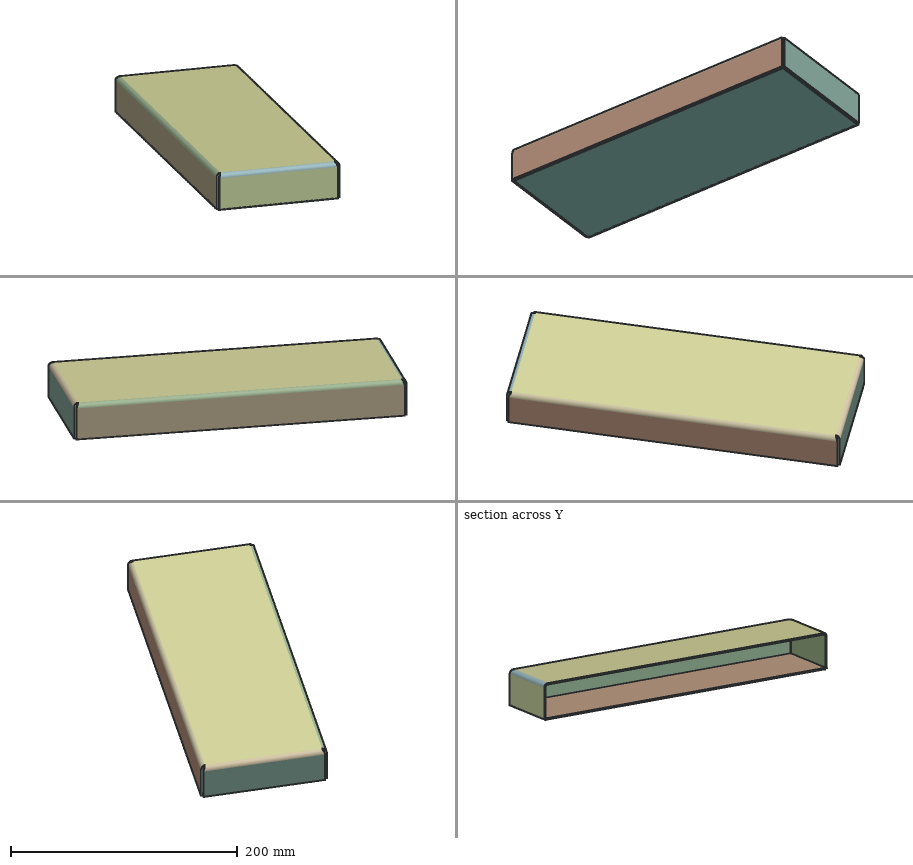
import cadquery as cq
import math

length = 300.0
width = 114.0
height = 34.0

sheet = 2.0
bend_radius = 2 * sheet
corner_gap = 0.1
wall_setback = sheet + corner_gap
half_bend = math.radians(45)

base_proud = 1.0
base_thickness = sheet


def block(size_x, size_y, bottom, top):
    """Box centred on the Z axis between two heights."""
    return (
        cq.Workplane("XY")
        .workplane(offset=bottom)
        .rect(size_x, size_y)
        .extrude(top - bottom)
    )


def folded_channel(span, run):
    """Face strip with a wall bent down at each end of the span; runs along Y."""
    outer = block(span, run, base_proud, height).edges("|Y and >Z").fillet(bend_radius)
    inner = block(span - 2 * sheet, run, base_proud, height - sheet)
    inner = inner.edges("|Y and >Z").fillet(bend_radius - sheet)
    return outer.cut(inner)


def mitred_ends(span, run):
    """Envelope whose ends curve from the wall's full run to the face corners across the bends."""
    wall_end = run / 2 - wall_setback
    face_end = run / 2 - bend_radius
    tangent = height - bend_radius
    middle_end = (wall_end + face_end) / 2
    middle_height = tangent + bend_radius * math.sin(half_bend)
    return (
        cq.Workplane("YZ")
        .moveTo(-wall_end, base_proud)
        .lineTo(wall_end, base_proud)
        .lineTo(wall_end, tangent)
        .threePointArc((middle_end, middle_height), (face_end, height))
        .lineTo(-face_end, height)
        .threePointArc((-middle_end, middle_height), (-wall_end, tangent))
        .close()
        .extrude(span / 2, both=True)
    )


def wall_pair(span, run):
    """Two opposite walls joined by the face, with mitred bend ends."""
    return folded_channel(span, run).intersect(mitred_ends(span, run))


end_walls = wall_pair(length, width)
long_walls = wall_pair(width, length).rotate((0, 0, 0), (0, 0, 1), 90)
base_plate = block(length - 2 * sheet, width - 2 * sheet, 0, base_thickness)

result = end_walls.union(long_walls).union(base_plate)